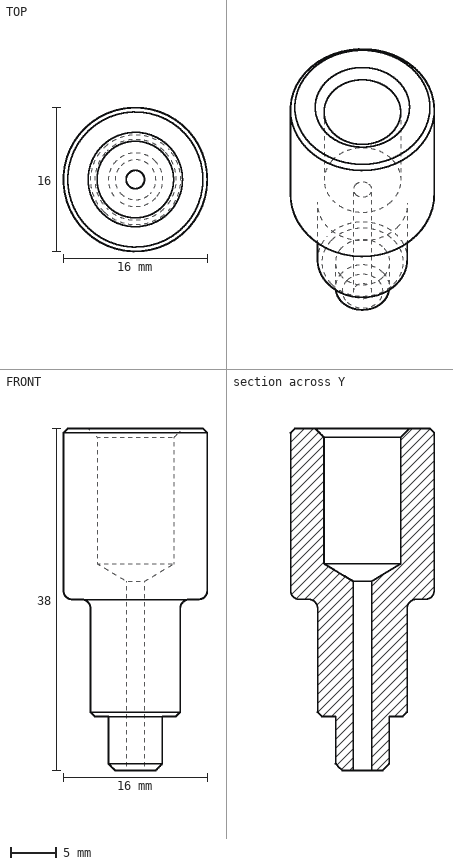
import cadquery as cq
import math

total_height = 38.0
body_diameter = 16.0
body_height = 19.0
neck_diameter = 10.0
tip_diameter = 6.0
tip_height = 6.0
neck_height = total_height - body_height - tip_height

edge_chamfer = 0.5
tip_chamfer = 0.75
shoulder_round = 1.0

bore_diameter = 8.5
bore_depth = 15.0
drill_point_angle = 118.0
countersink_diameter = 10.5
countersink_angle = 90.0
through_hole_diameter = 2.0


def cylinder(diameter, height, base_z):
    return cq.Workplane("XY").workplane(offset=base_z).circle(diameter / 2).extrude(height)


def make_tip():
    return cylinder(tip_diameter, tip_height, 0).faces("<Z").chamfer(tip_chamfer)


def make_neck():
    return cylinder(neck_diameter, neck_height, tip_height).faces("<Z").chamfer(edge_chamfer)


def make_body():
    body = cylinder(body_diameter, body_height, total_height - body_height)
    return body.faces(">Z").chamfer(edge_chamfer).faces("<Z").edges().fillet(shoulder_round)


def make_bore():
    bore_radius = bore_diameter / 2
    countersink_radius = countersink_diameter / 2
    countersink_depth = (countersink_radius - bore_radius) / math.tan(math.radians(countersink_angle / 2))
    point_depth = bore_radius / math.tan(math.radians(drill_point_angle / 2))
    bore_floor_z = total_height - bore_depth
    half_section = (
        cq.Workplane("XZ")
        .moveTo(0, bore_floor_z - point_depth)
        .lineTo(bore_radius, bore_floor_z)
        .lineTo(bore_radius, total_height - countersink_depth)
        .lineTo(countersink_radius, total_height)
        .lineTo(0, total_height)
        .close()
    )
    return half_section.revolve(360, (0, 0, 0), (0, 1, 0))


outside = make_tip().union(make_neck()).union(make_body())

neck_corner = cq.selectors.RadiusNthSelector(0)
body_underside = outside.faces(cq.selectors.NearestToPointSelector(
    ((neck_diameter + body_diameter) / 4, 0, total_height - body_height)))
outside = body_underside.edges(neck_corner).fillet(shoulder_round)

through_hole = cylinder(through_hole_diameter, total_height, 0)
result = outside.cut(make_bore()).cut(through_hole)